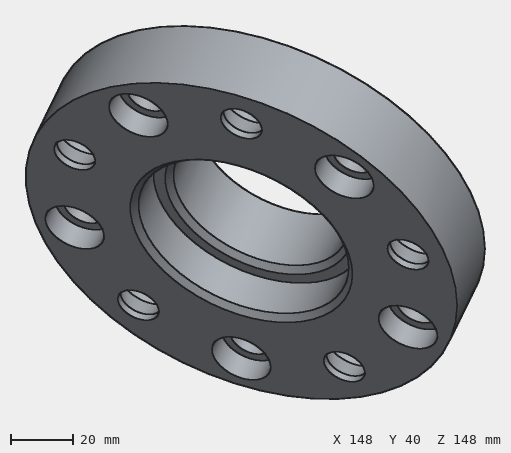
import cadquery as cq

flange_diameter = 148.0
flange_thickness = 25.0
overall_length = 40.0
hub_diameter = 72.5
hub_chamfer = 2.0

bore_diameter = 59.9
bore_chamfer = 2.0
recess_diameter = 72.0
recess_depth = 15.4
recess_chamfer = 2.0

bolt_circle_radius = 60.0
hole_count = 10
hole_diameter = 14.0
counterbore_diameter = 20.1
counterbore_depth = 8.5

land_length = 2.5
cone_end = 9.6
back_bore_diameter = 20.1


def make_body():
    """Revolve the flange, hub and stepped bore about the Y axis."""
    flange_radius = flange_diameter / 2
    hub_radius = hub_diameter / 2
    bore_radius = bore_diameter / 2
    recess_radius = recess_diameter / 2
    profile = [
        (recess_radius + recess_chamfer, 0),
        (flange_radius, 0),
        (flange_radius, flange_thickness),
        (hub_radius, flange_thickness),
        (hub_radius, overall_length - hub_chamfer),
        (hub_radius - hub_chamfer, overall_length),
        (bore_radius, overall_length),
        (bore_radius, recess_depth + bore_chamfer),
        (bore_radius + bore_chamfer, recess_depth),
        (recess_radius, recess_depth),
        (recess_radius, recess_chamfer),
    ]
    return cq.Workplane("XY").polyline(profile).close().revolve(360, (0, 0), (0, 1))


def stepped_hole(profile):
    """Revolve (radius, Y) points about a bolt axis, closing the outline along that axis."""
    (_, start), (_, end) = profile[0], profile[-1]
    outline = [(0, start)] + profile + [(0, end)]
    return cq.Workplane("XY").polyline(outline).close().revolve(360, (0, 0), (0, 1))


def place_on_bolt_circle(body, hole, start_angle):
    """Cut the hole at every second position of the bolt circle."""
    located = hole.translate((bolt_circle_radius, 0, 0))
    positions = hole_count // 2
    for index in range(positions):
        angle = start_angle + index * 360 / positions
        body = body.cut(located.rotate((0, 0, 0), (0, 1, 0), angle))
    return body


counterbored_hole = stepped_hole([
    (counterbore_diameter / 2, 0),
    (counterbore_diameter / 2, counterbore_depth),
    (hole_diameter / 2, counterbore_depth),
    (hole_diameter / 2, flange_thickness),
])
back_widened_hole = stepped_hole([
    (hole_diameter / 2, 0),
    (hole_diameter / 2, land_length),
    (back_bore_diameter / 2, cone_end),
    (back_bore_diameter / 2, flange_thickness),
])

result = place_on_bolt_circle(make_body(), counterbored_hole, 90)
result = place_on_bolt_circle(result, back_widened_hole, -90)